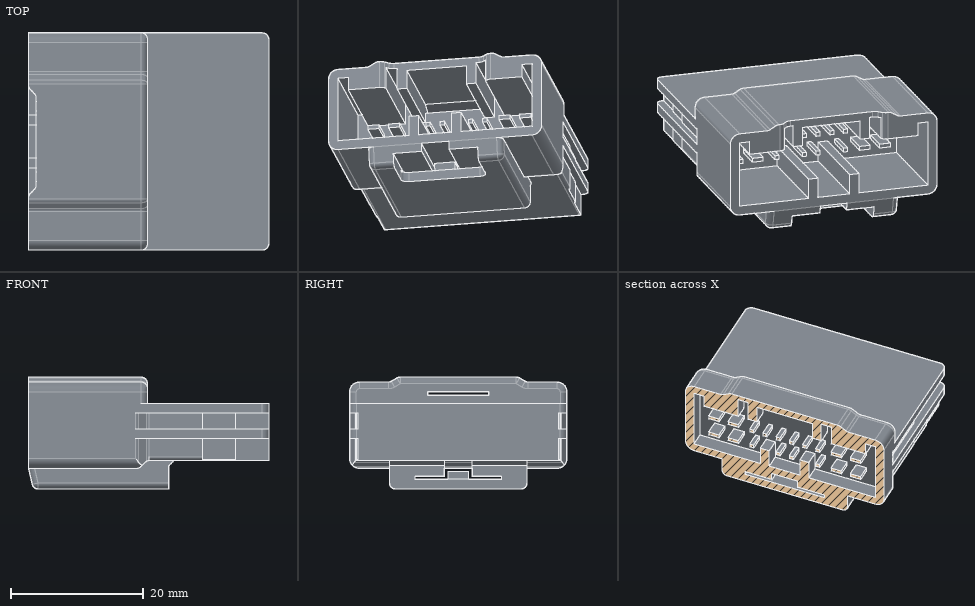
import cadquery as cq
import math

length = 36.4
width = 32.9
height = 16.95
half_width = width / 2

wall = 1.45
shell_back = 18.0
shell_bottom = 3.13
shoulder_top = 16.2
shell_corner_radius = 1.5
shell_back_radius = 1.02
crown_slope = math.radians(30)
crown_half_width = 9.03
crown_foot = crown_half_width + (height - shoulder_top) / math.tan(crown_slope)
crown_top_radius = 1.1
crown_foot_radius = 0.87

plate_thickness = 1.45
plate_bottoms = (11.5, 7.65)
plate_top = plate_bottoms[0] + plate_thickness
plate_corner_radius = 1.05
core_bottom = 4.3
core_edge_radius = 0.6
core_taper_start = 16.45
core_taper_end = 18.05
core_inset = 0.9
core_step_inset = 0.2
core_step_starts = (26.35, 31.3)
taper_radius = 0.85
taper_angle = math.atan2(core_inset, core_taper_end - core_taper_start)
core_start = core_taper_end + taper_radius * math.tan(taper_angle / 2)
belly_slope_start = 16.75
taper_overrun = 0.73

cavity_depth = 15.3
cavity_half_width = half_width - wall
cavity_floor = shell_bottom + wall
cavity_ceiling = shoulder_top - wall
step_bottom = 12.75
step_half_width = 13.4
key_outer = 7.68
key_inner = 6.08
key_top = 16.1
latch_half_width = 4.6
latch_ceiling = 15.65
window_bottom = 14.2
window_back_top = 14.7
rib_width = 1.5
rib_top = 7.68

recess_depth = 1.15
recess_mouth_half = 8.15
recess_radius = 1.05

pin_tip = 10.92
pin_height = 0.62
wide_pin_width = 1.7
small_pin_width = 0.65
wide_pin_positions = (11.72, 8.5)
small_pin_pitch = 2.2
small_pin_columns = (0.5, 1.5, 2.5)
rib_column = small_pin_columns[1]
lower_row = 7.57
upper_wide_row = 10.8
upper_small_row = 10.6

rail_length = 21.25
rail_half_width = 10.4
rail_edge_radius = 0.9
rail_front_lean = 0.73
rail_heel = 0.75
channel_half_width = 6.5
channel_top = 1.93
channel_neck_half = 2.1
bar_start = 7.28
bar_top = 1.5
bar_corner_radius = 1.02
tongue_half_width = 1.55
tongue_top = 2.65
tongue_length = 2.2
tongue_lean = 0.35


def block(x0, x1, y0, y1, z0, z1):
    return cq.Workplane("XY").box(x1 - x0, y1 - y0, z1 - z0, centered=False).translate((x0, y0, z0))


def centred_block(x0, x1, half_y, z0, z1):
    return block(x0, x1, -half_y, half_y, z0, z1)


def mirrored_edges(x0, x1, y, z0, z1):
    """Selector for the edges between x0..x1 and z0..z1 that lie at y or at -y."""
    near = 0.05
    left, right = (
        cq.selectors.BoxSelector((x0 - near, side_y - near, z0 - near), (x1 + near, side_y + near, z1 + near))
        for side_y in (-y, y)
    )
    return left + right


def shell_prism(back):
    """Solid shell: rounded rectangle with a raised crown, extruded along X."""
    points = [
        (-half_width, shell_bottom), (half_width, shell_bottom), (half_width, shoulder_top),
        (crown_foot, shoulder_top), (crown_half_width, height),
        (-crown_half_width, height), (-crown_foot, shoulder_top), (-half_width, shoulder_top),
    ]
    prism = cq.Workplane("YZ").polyline(points).close().extrude(back)
    for y, z, radius in (
        (half_width, shell_bottom, shell_corner_radius),
        (half_width, shoulder_top, shell_corner_radius),
        (crown_foot, shoulder_top, crown_foot_radius),
        (crown_half_width, height, crown_top_radius),
    ):
        prism = prism.edges(mirrored_edges(0, back, y, z, z)).fillet(radius)
    return prism


def upper_shell():
    """Shell above the top plate, with its back edge rounded."""
    rounded = shell_prism(shell_back).faces(">X").edges().fillet(shell_back_radius)
    return rounded.intersect(centred_block(0, length, width, plate_top, height))


def tapered_shell():
    """Shell below the top plate: sides and belly taper inwards to the size of the core."""
    tail = core_start + taper_overrun
    inner = half_width - core_inset
    plan_points = [
        (0, -half_width), (core_taper_start, -half_width), (core_taper_end, -inner), (tail, -inner),
        (tail, inner), (core_taper_end, inner), (core_taper_start, half_width), (0, half_width),
    ]
    plan = cq.Workplane("XY").polyline(plan_points).close().extrude(plate_top)
    for x, y in ((core_taper_start, half_width), (core_taper_end, inner)):
        plan = plan.edges(mirrored_edges(x, x, y, 0, plate_top)).fillet(taper_radius)
    belly_slope_end = belly_slope_start + core_bottom - shell_bottom
    side_points = [
        (0, shell_bottom), (belly_slope_start, shell_bottom), (belly_slope_end, core_bottom),
        (tail, core_bottom), (tail, plate_top), (0, plate_top),
    ]
    side = cq.Workplane("XZ").polyline(side_points).close().extrude(half_width, both=True)
    for x, z in ((belly_slope_start, shell_bottom), (belly_slope_end, core_bottom)):
        side = side.edges(cq.selectors.NearestToPointSelector((x, 0, z))).fillet(taper_radius)
    return shell_prism(core_start).intersect(plan).intersect(side)


def core():
    """Wire-end core, narrowing in two small steps towards the back."""
    inner = half_width - core_inset
    body = centred_block(core_start, length, inner, core_bottom, plate_top)
    body = body.edges("|X and <Z").fillet(core_edge_radius)
    for step, start in enumerate(core_step_starts, 1):
        stepped = inner - step * core_step_inset
        keep_front = centred_block(core_start, start, inner, core_bottom, plate_top)
        keep_back = centred_block(start, length, stepped, core_bottom, plate_top)
        body = body.intersect(keep_front.union(keep_back))
    return body


def plates():
    outline = centred_block(cavity_depth, length, half_width, 0, plate_thickness)
    plate = outline.edges("|Z and >X").fillet(plate_corner_radius)
    lower, upper = (plate.translate((0, 0, z)) for z in plate_bottoms)
    return lower.union(upper)


def rail():
    """Solid rail with a rounded leaning front and a sloping heel under the core."""
    joint = cavity_floor
    lean_per_height = rail_front_lean / shell_bottom
    heel_end = rail_length + rail_heel
    profile = [
        (rail_front_lean, 0), (rail_length, 0), (rail_length, core_bottom - rail_heel),
        (heel_end, core_bottom), (heel_end, joint),
        (rail_front_lean - joint * lean_per_height, joint),
    ]
    body = cq.Workplane("XZ").polyline(profile).close().extrude(rail_half_width, both=True)
    rounded = body.faces("<X").edges("not >Z").add(body.faces("<Z").edges("|X")).fillet(rail_edge_radius)
    return rounded.intersect(centred_block(0, length, rail_half_width, 0, joint))


def channel():
    """T-shaped channel along the rail, up to the underside of the shell."""
    tail = rail_length + rail_heel
    wide = centred_block(-wall, tail, channel_half_width, -wall, channel_top)
    neck_front = centred_block(-wall, tail, channel_neck_half, 0, shell_bottom)
    neck_back = centred_block(belly_slope_start, tail, channel_neck_half, 0, core_bottom)
    return wide.union(neck_front).union(neck_back)


def cross_bar():
    """Bar joining the rail sides, with rounded inner corners and a leaning tongue on top."""
    inner = channel_half_width - bar_corner_radius
    arc_mid = bar_corner_radius * math.sqrt(0.5)
    arc_x = bar_start - bar_corner_radius
    bar = (
        cq.Workplane("XY")
        .moveTo(rail_length, channel_half_width)
        .lineTo(arc_x, channel_half_width)
        .threePointArc((arc_x + arc_mid, inner + arc_mid), (bar_start, inner))
        .lineTo(bar_start, -inner)
        .threePointArc((arc_x + arc_mid, -inner - arc_mid), (arc_x, -channel_half_width))
        .lineTo(rail_length, -channel_half_width)
        .close()
        .extrude(bar_top)
    )
    tongue_points = [
        (bar_start + tongue_lean, bar_top), (bar_start, tongue_top),
        (bar_start + tongue_length, tongue_top), (bar_start + tongue_length, bar_top),
    ]
    tongue = cq.Workplane("XZ").polyline(tongue_points).close().extrude(tongue_half_width, both=True)
    return bar.union(tongue)


def cavity():
    """Mating cavity, open at the front, with stepped ceiling, key slots, latch pocket and floor ribs."""
    space = centred_block(0, cavity_depth, cavity_half_width, cavity_floor, step_bottom)
    space = space.union(centred_block(0, cavity_depth, latch_half_width, step_bottom, latch_ceiling))
    for side in (-1, 1):
        for inner, outer, top in (
            (step_half_width, cavity_half_width, cavity_ceiling), (key_inner, key_outer, key_top),
        ):
            y0, y1 = sorted((side * inner, side * outer))
            space = space.union(block(0, cavity_depth, y0, y1, step_bottom, top))
        rib_start = side * rib_column * small_pin_pitch - rib_width / 2
        space = space.cut(block(0, cavity_depth, rib_start, rib_start + rib_width, cavity_floor, rib_top))
    return space


def window():
    """Opening from the latch pocket to the back, with a sloping ceiling."""
    points = [
        (cavity_depth, window_bottom), (cavity_depth, latch_ceiling),
        (shell_back, window_back_top), (shell_back, window_bottom),
    ]
    return cq.Workplane("XZ").polyline(points).close().extrude(latch_half_width, both=True)


def front_recess():
    """Shallow recess in the top wall with 45 degree sides and rounded corners."""
    floor_half = recess_mouth_half - recess_depth
    points = [
        (-wall, half_width), (0, half_width), (0, recess_mouth_half), (recess_depth, floor_half),
        (recess_depth, -floor_half), (0, -recess_mouth_half), (0, -half_width), (-wall, -half_width),
    ]
    plane = cq.Workplane("XY").workplane(offset=step_bottom)
    tool = plane.polyline(points).close().extrude(height - step_bottom)
    for x, y in ((0, recess_mouth_half), (recess_depth, floor_half)):
        tool = tool.edges(mirrored_edges(x, x, y, step_bottom, height)).fillet(recess_radius)
    return tool


def pin(y, z, pin_width):
    return block(
        pin_tip, cavity_depth + wall / 2,
        y - pin_width / 2, y + pin_width / 2, z - pin_height / 2, z + pin_height / 2,
    )


def pins():
    """Two rows of contacts; the lower row skips the two columns that sit on the floor ribs."""
    contacts = []
    for side in (-1, 1):
        for y in wide_pin_positions:
            contacts.append(pin(side * y, upper_wide_row, wide_pin_width))
            contacts.append(pin(side * y, lower_row, wide_pin_width))
        for column in small_pin_columns:
            y = side * column * small_pin_pitch
            contacts.append(pin(y, upper_small_row, small_pin_width))
            if column != rib_column:
                contacts.append(pin(y, lower_row, small_pin_width))
    return contacts


result = upper_shell().union(tapered_shell()).union(core()).union(plates())
result = result.union(rail().cut(channel()))
result = result.union(cross_bar())
result = result.cut(cavity()).cut(window()).cut(front_recess())
for contact in pins():
    result = result.union(contact)